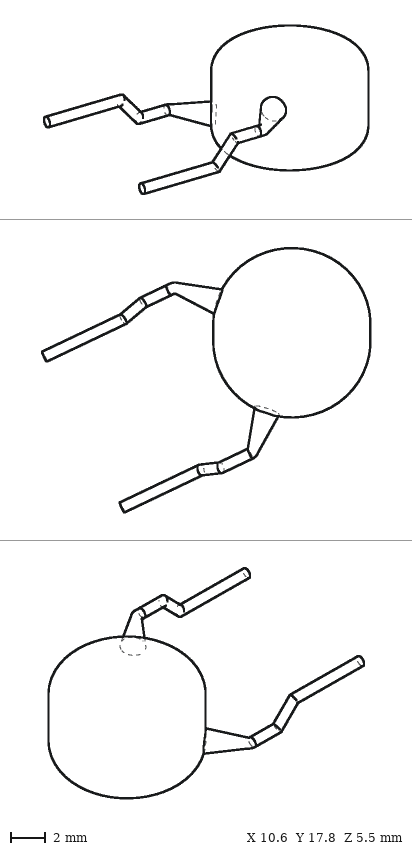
import cadquery as cq
import math


disc_diameter = 9.0
disc_height = 5.5
disc_edge_fillet = 1.0
disc_radius = disc_diameter / 2

overall_length = 17.8
lead_pitch = 10.0
wire_diameter = 0.64
lead_exit_height = 1.5
first_bend_y = -7.01
second_bend_y = -8.28
wire_radius = wire_diameter / 2
lead_x = lead_pitch / 2
lead_end_y = disc_radius - overall_length

coat_root_radius = 0.73
coat_root_depth = 0.89
coat_angle = 45.0
right_coat_stub = 0.27
left_coat_stub = 0.0

sin_coat = math.sin(math.radians(coat_angle))
cos_coat = math.cos(math.radians(coat_angle))
taper_end_x = lead_x - wire_radius + wire_radius * cos_coat
taper_end_distance = taper_end_x / sin_coat
elbow_end_y = -taper_end_distance * cos_coat - wire_radius * sin_coat


def make_disc():
    return (
        cq.Workplane("XY", origin=(0, 0, -disc_height / 2))
        .circle(disc_radius)
        .extrude(disc_height)
        .edges("%CIRCLE")
        .fillet(disc_edge_fillet)
    )


def lead_section(y):
    """Circle of the wire on the right lead at the given Y, facing -Y."""
    return cq.Workplane("XZ", origin=(lead_x, y, lead_exit_height)).circle(wire_radius)


def make_taper():
    """Cone frustum from inside the disc out to the elbow."""
    slope = (coat_root_radius - wire_radius) / (taper_end_distance - disc_radius)
    start_distance = disc_radius - coat_root_depth
    start_radius = coat_root_radius + slope * coat_root_depth
    direction = cq.Vector(sin_coat, -cos_coat, 0)
    start = direction * start_distance + cq.Vector(0, 0, lead_exit_height)
    length = taper_end_distance - start_distance
    return cq.Workplane(obj=cq.Solid.makeCone(start_radius, wire_radius, length, start, direction))


def make_coat(stub_length, disc):
    """Taper, elbow and straight stub of the right lead, seated against the disc."""
    elbow = lead_section(elbow_end_y).revolve(coat_angle, (-wire_radius, 0), (-wire_radius, 1))
    coat = make_taper().cut(disc).union(elbow)
    if stub_length > 0:
        coat = coat.union(lead_section(elbow_end_y).extrude(stub_length))
    return coat


def make_wire(stub_length):
    """Bare wire of the right lead, with two mitred bends down to the middle plane."""
    start_y = elbow_end_y - stub_length
    path = cq.Workplane("YZ", origin=(lead_x, 0, 0)).polyline(
        [
            (start_y, lead_exit_height),
            (first_bend_y, lead_exit_height),
            (second_bend_y, 0),
            (lead_end_y, 0),
        ]
    )
    return lead_section(start_y).sweep(path, transition="right")


disc = make_disc()

coats = []
wires = []
for turn, stub_length in ((0, right_coat_stub), (180, left_coat_stub)):
    coat = make_coat(stub_length, disc).rotate((0, 0, 0), (0, 1, 0), turn)
    wire = make_wire(stub_length).rotate((0, 0, 0), (0, 1, 0), turn)
    coats.extend(coat.solids().vals())
    wires.extend(wire.solids().vals())

result = cq.Compound.makeCompound([*disc.solids().vals(), *coats, *wires])